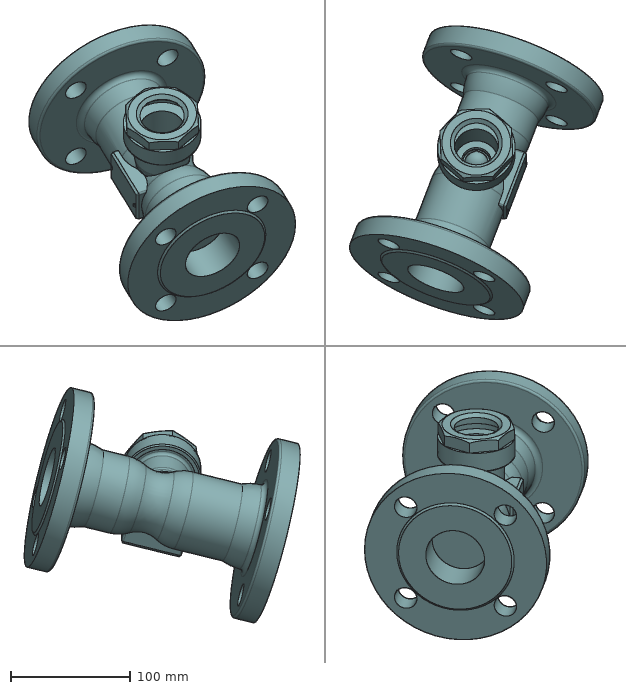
import cadquery as cq
import math

overall_length = 200.0
pipe_radius = 33.25
bore_diameter = 50.0
bore_depth = 30.0
pipe_axis = ((0, 0, 0), (1, 0, 0))

flange_diameter = 155.0
flange_thickness = 18.2
flange_edge_fillet = 2.0
raised_face_height = 1.6
raised_face_base_radius = 50.0
raised_face_tip_radius = 48.2
bolt_hole_diameter = 19.0
bolt_circle_diameter = 120.0
bolt_count = 4

hub_start_x = 60.4
hub_shoulder_x = 76.0
hub_shoulder_radius = 36.4
hub_root_radius = 42.0

waist_center_x = 10.1
waist_half_length = 27.7
waist_neck_half_length = 12.1
waist_neck_radius = 26.4

stem_diameter = 47.0
stem_taper_top_z = 23.3
stem_taper_bottom_z = 20.4
stem_tip_radius = 23.0
stem_bottom_z = 17.5
stem_flare_fillet = 2.7
stem_head_diameter = 56.0
stem_top_z = 57.8
well_diameter = 37.0
well_floor_z = 28.0

recess_top_radius = 12.5
recess_chamfer = 1.0
recess_depth = 3.0
dome_radius = 9.8

pad_width = 52.0
pad_height = 33.0
pad_face_y = -35.6
pad_corner_fillet = 1.5
pad_bevel_depth = 2.2
pad_bevel_width = 1.3
pad_back_y = -15.0
clip_tip_y = -37.2
clip_outer_x = 24.6
clip_inner_x = 21.9
clip_height = 2.8

cap_diameter = 65.0
cap_bottom_z = 46.5
cap_bottom_chamfer = 1.2
collar_top_z = 64.6
cap_top_z = 75.9
cap_sides = 8
cap_top_flat_radius = 28.8
cap_crown_height = 2.0
window_diameter = 37.0
window_mouth_diameter = 43.4
window_depth = 3.0
cap_bore_diameter = 51.0
cap_bore_bottom_z = 63.8

half_length = overall_length / 2
flange_face_x = half_length - raised_face_height
flange_back_x = flange_face_x - flange_thickness
cap_radius = cap_diameter / 2
stem_radius = stem_diameter / 2


def revolve_about_z(points):
    return cq.Workplane("XZ").polyline(points).close().revolve(360, (0, 0, 0), (0, 1, 0))


def cylinder(diameter, bottom_z, top_z):
    return cq.Workplane("XY").workplane(offset=bottom_z).circle(diameter / 2).extrude(top_z - bottom_z)


def make_pipe():
    sphere_reach = waist_half_length - waist_neck_half_length
    waist_edge_radius = math.sqrt(pipe_radius**2 - sphere_reach**2)
    sphere_middle = math.asin(sphere_reach / pipe_radius) / 2
    sphere_middle_reach = pipe_radius * math.sin(sphere_middle)
    sphere_middle_radius = pipe_radius * math.cos(sphere_middle)
    left = waist_center_x - waist_half_length
    right = waist_center_x + waist_half_length
    neck_left = waist_center_x - waist_neck_half_length
    neck_right = waist_center_x + waist_neck_half_length
    return (
        cq.Workplane("XY")
        .moveTo(-hub_start_x, 0)
        .lineTo(-hub_start_x, pipe_radius)
        .lineTo(left, pipe_radius)
        .threePointArc((left + sphere_middle_reach, sphere_middle_radius), (neck_left, waist_edge_radius))
        .threePointArc((waist_center_x, waist_neck_radius), (neck_right, waist_edge_radius))
        .threePointArc((right - sphere_middle_reach, sphere_middle_radius), (right, pipe_radius))
        .lineTo(hub_start_x, pipe_radius)
        .lineTo(hub_start_x, 0)
        .close()
        .revolve(360, *pipe_axis)
    )


def make_flange():
    """Flange with its flared hub at the +X end, and the blind bore to cut from it."""
    flange_radius = flange_diameter / 2
    hub_length = hub_shoulder_x - hub_start_x
    hub_rise = hub_shoulder_radius - pipe_radius
    hub_arc_radius = (hub_length**2 + hub_rise**2) / (2 * hub_rise)
    flange = (
        cq.Workplane("XY")
        .moveTo(hub_start_x, 0)
        .lineTo(hub_start_x, pipe_radius)
        .radiusArc((hub_shoulder_x, hub_shoulder_radius), hub_arc_radius)
        .tangentArcPoint((flange_back_x, hub_root_radius), relative=False)
        .lineTo(flange_back_x, flange_radius - flange_edge_fillet)
        .radiusArc((flange_back_x + flange_edge_fillet, flange_radius), flange_edge_fillet)
        .lineTo(flange_face_x, flange_radius)
        .lineTo(flange_face_x, raised_face_base_radius)
        .lineTo(half_length, raised_face_tip_radius)
        .lineTo(half_length, 0)
        .close()
        .revolve(360, *pipe_axis)
    )
    bolt_holes = (
        cq.Workplane("YZ")
        .workplane(offset=flange_back_x)
        .polarArray(bolt_circle_diameter / 2, 180 / bolt_count, 360, bolt_count)
        .circle(bolt_hole_diameter / 2)
        .extrude(flange_thickness)
    )
    bore = (
        cq.Workplane("YZ")
        .workplane(offset=half_length - bore_depth)
        .circle(bore_diameter / 2)
        .extrude(bore_depth)
    )
    return flange.cut(bolt_holes), bore


def make_stem():
    head_radius = stem_head_diameter / 2
    flare_radius = stem_radius + stem_flare_fillet
    return (
        cq.Workplane("XZ")
        .moveTo(0, stem_bottom_z)
        .lineTo(stem_tip_radius, stem_bottom_z)
        .lineTo(stem_tip_radius, stem_taper_bottom_z)
        .lineTo(stem_radius, stem_taper_top_z)
        .lineTo(stem_radius, cap_bottom_z - stem_flare_fillet)
        .radiusArc((flare_radius, cap_bottom_z), stem_flare_fillet)
        .lineTo(head_radius, cap_bottom_z)
        .lineTo(head_radius, stem_top_z)
        .lineTo(0, stem_top_z)
        .close()
        .revolve(360, (0, 0, 0), (0, 1, 0))
    )


def make_well():
    """Hollow of the stem, less the domed tip that stands in its recess."""
    recess_floor_z = well_floor_z - recess_depth
    recess_radius = recess_top_radius - recess_chamfer
    hollow = revolve_about_z([
        (0, recess_floor_z),
        (recess_radius, recess_floor_z),
        (recess_radius, well_floor_z - recess_chamfer),
        (recess_top_radius, well_floor_z),
        (well_diameter / 2, well_floor_z),
        (well_diameter / 2, stem_top_z),
        (0, stem_top_z),
    ])
    dome = cq.Workplane("XY").sphere(dome_radius).translate((0, 0, recess_floor_z))
    return hollow.cut(dome)


def make_name_pad():
    bevel_back_y = pad_face_y + pad_bevel_depth
    bevel_angle = math.degrees(math.atan2(pad_bevel_width, pad_bevel_depth))
    pad = (
        cq.Workplane("XY")
        .box(pad_width, pad_back_y - bevel_back_y, pad_height)
        .translate((0, (bevel_back_y + pad_back_y) / 2, 0))
        .edges("|Y")
        .fillet(pad_corner_fillet)
        .faces("<Y")
        .wires()
        .toPending()
        .workplane()
        .extrude(pad_bevel_depth, taper=bevel_angle)
    )
    for side in (-1, 1):
        clip = (
            cq.Workplane("XY")
            .workplane(offset=-clip_height / 2)
            .polyline([
                (side * clip_inner_x, clip_tip_y),
                (side * clip_outer_x, pad_face_y),
                (side * clip_outer_x, bevel_back_y),
                (side * clip_inner_x, bevel_back_y),
            ])
            .close()
            .extrude(clip_height)
        )
        pad = pad.union(clip)
    return pad


def make_body():
    body = make_pipe().union(make_stem()).union(make_name_pad())
    flange, bore = make_flange()
    body = body.union(flange).union(flange.mirror("YZ"))
    return body.cut(bore).cut(bore.mirror("YZ")).cut(make_well())


def make_cap():
    collar = cylinder(cap_diameter, cap_bottom_z, collar_top_z).faces("<Z").chamfer(cap_bottom_chamfer)
    crown = (
        cq.Workplane("XY")
        .workplane(offset=collar_top_z)
        .polygon(cap_sides, cap_diameter)
        .extrude(cap_top_z - collar_top_z)
    )
    crown_envelope = revolve_about_z([
        (0, collar_top_z),
        (cap_radius, collar_top_z),
        (cap_radius, cap_top_z - cap_crown_height),
        (cap_top_flat_radius, cap_top_z),
        (0, cap_top_z),
    ])
    window_z = cap_top_z - window_depth
    opening = revolve_about_z([
        (0, cap_bottom_z),
        (stem_head_diameter / 2, cap_bottom_z),
        (stem_head_diameter / 2, cap_bore_bottom_z),
        (cap_bore_diameter / 2, cap_bore_bottom_z),
        (cap_bore_diameter / 2, window_z),
        (window_diameter / 2, window_z),
        (window_mouth_diameter / 2, cap_top_z),
        (0, cap_top_z),
    ])
    return collar.union(crown.intersect(crown_envelope)).cut(opening)


body = make_body()
cap = make_cap()
result = cq.Compound.makeCompound([body.val(), cap.val()])